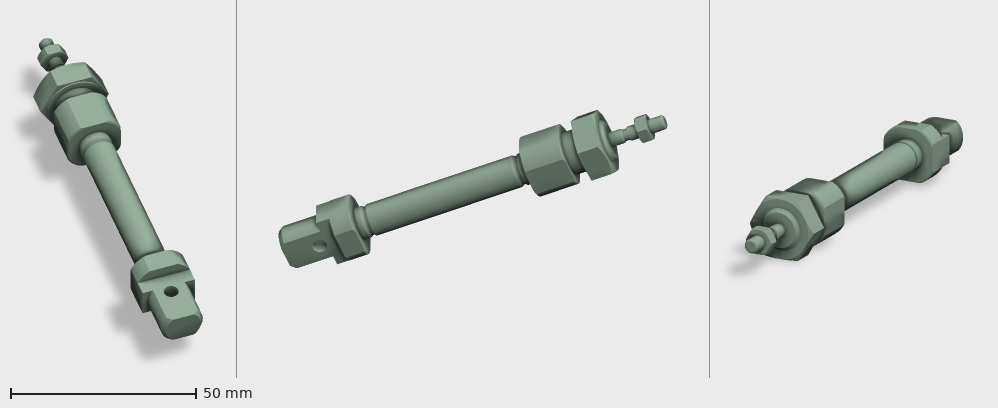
import cadquery as cq
import math


LENGTH = 111.0

ROD_DIAMETER = 4.0
ROD_TIP_CHAMFER = 0.4
UNDERCUT_DIAMETER = 3.2
UNDERCUT_START = 10.5
UNDERCUT_LENGTH = 1.4
UNDERCUT_CHAMFER = (ROD_DIAMETER - UNDERCUT_DIAMETER) / 2

LOCK_NUT_START = 4.4
LOCK_NUT_THICKNESS = 3.2
LOCK_NUT_FLATS = 7.0
NUT_CHAMFER_ANGLE = 30.0

COLLAR_START = 16.0
COLLAR_DIAMETER = 12.0
COLLAR_CHAMFER = 1.0

MOUNT_NUT_START = 17.0
MOUNT_NUT_THICKNESS = 6.7
MOUNT_NUT_FLATS = 17.0
WASHER_FACE_DIAMETER = 16.0
WASHER_FACE_THICKNESS = 0.3

CAP_FLATS = 15.0
FRONT_CAP_START = 28.0
FRONT_CAP_LENGTH = 11.7
REAR_CAP_START = 89.4
REAR_CAP_LENGTH = 9.7
CAP_CHAMFER_LENGTH = 0.28
CAP_CHAMFER_DEPTH = 0.5
REAR_STEP_LENGTH = 5.8

TONGUE_DIAMETER = COLLAR_DIAMETER
TONGUE_THICKNESS = 8.0
TONGUE_CHAMFER_LENGTH = 1.3
TONGUE_CHAMFER_DEPTH = 1.0
PIVOT_HOLE_DIAMETER = 4.0
PIVOT_HOLE_X = 101.0

CAP_DIAMETER = math.hypot(CAP_FLATS, TONGUE_THICKNESS)

BARREL_DIAMETER = 9.0
GROOVE_DIAMETER = 8.0
GROOVE_OFFSET = 2.8
GROOVE_WIDTH = 2.2
GROOVE_HOLLOW_WIDTH = 1.0

FRONT_CAP_END = FRONT_CAP_START + FRONT_CAP_LENGTH
REAR_CAP_END = REAR_CAP_START + REAR_CAP_LENGTH


def cylinder(start, length, diameter):
    """Round bar along X."""
    return cq.Workplane("YZ").workplane(offset=start).circle(diameter / 2).extrude(length)


def hex_prism(start, thickness, flats, chamfer_rear):
    """Hexagon along X, flats facing up and down, corners turned off by a cone."""
    corners = flats / math.cos(math.pi / 6)
    prism = cq.Workplane("YZ").workplane(offset=start).polygon(6, corners).extrude(thickness)
    radial = (corners - flats) / 2
    axial = radial * math.tan(math.radians(NUT_CHAMFER_ANGLE))
    turned = cylinder(start, thickness, corners).faces("<X").chamfer(axial, radial)
    if chamfer_rear:
        turned = turned.faces(">X").chamfer(axial, radial)
    return prism.intersect(turned)


def cap(start, length, chamfered_ends):
    """Round bar with four flats and a shallow cone turned on the chosen ends."""
    square = cq.Workplane("YZ").workplane(offset=start).rect(CAP_FLATS, CAP_FLATS).extrude(length)
    turned = cylinder(start, length, CAP_DIAMETER)
    turned = turned.faces(chamfered_ends).chamfer(CAP_CHAMFER_LENGTH, CAP_CHAMFER_DEPTH)
    return square.intersect(turned)


def make_piston_rod():
    """Rod with a chamfered tip and a turned undercut, ending level with the front cap."""
    undercut_end = UNDERCUT_START + UNDERCUT_LENGTH
    radius = ROD_DIAMETER / 2
    rod = (
        cq.Workplane("XY")
        .lineTo(0, radius - ROD_TIP_CHAMFER)
        .lineTo(ROD_TIP_CHAMFER, radius)
        .lineTo(UNDERCUT_START, radius)
        .lineTo(UNDERCUT_START, UNDERCUT_DIAMETER / 2)
        .lineTo(undercut_end, UNDERCUT_DIAMETER / 2)
        .lineTo(undercut_end + UNDERCUT_CHAMFER, radius)
        .lineTo(FRONT_CAP_END, radius)
        .lineTo(FRONT_CAP_END, 0)
        .close()
        .revolve(360, (0, 0, 0), (1, 0, 0))
    )
    lock_nut = hex_prism(LOCK_NUT_START, LOCK_NUT_THICKNESS, LOCK_NUT_FLATS, chamfer_rear=True)
    return rod.union(lock_nut)


def make_groove(middle):
    """Ring to cut from the barrel: a concave hollow blending into two convex shoulders."""
    floor = GROOVE_DIAMETER / 2
    top = BARREL_DIAMETER / 2
    depth = top - floor
    half_mouth = GROOVE_WIDTH / 2
    half_hollow = GROOVE_HOLLOW_WIDTH / 2
    angle = 2 * math.atan(depth / half_mouth)
    blend = floor + depth * half_hollow / half_mouth
    shoulder_radius = (half_mouth - half_hollow) / math.sin(angle)
    shoulder_x = half_mouth - shoulder_radius * math.sin(angle / 2)
    shoulder_y = top - shoulder_radius * (1 - math.cos(angle / 2))
    return (
        cq.Workplane("XY")
        .moveTo(middle - half_hollow, blend)
        .threePointArc((middle, floor), (middle + half_hollow, blend))
        .threePointArc((middle + shoulder_x, shoulder_y), (middle + half_mouth, top))
        .lineTo(middle - half_mouth, top)
        .threePointArc((middle - shoulder_x, shoulder_y), (middle - half_hollow, blend))
        .close()
        .revolve(360, (0, 0, 0), (1, 0, 0))
    )


def make_barrel():
    """Tube outline with a rolled groove near each cap."""
    barrel = cylinder(FRONT_CAP_END, REAR_CAP_START - FRONT_CAP_END, BARREL_DIAMETER)
    for middle in (FRONT_CAP_END + GROOVE_OFFSET, REAR_CAP_START - GROOVE_OFFSET):
        barrel = barrel.cut(make_groove(middle))
    return barrel


def make_mounting_nut():
    """Large hexagon with a round washer face at the rear."""
    nut = hex_prism(MOUNT_NUT_START, MOUNT_NUT_THICKNESS, MOUNT_NUT_FLATS, chamfer_rear=False)
    washer_start = MOUNT_NUT_START + MOUNT_NUT_THICKNESS
    return nut.union(cylinder(washer_start, WASHER_FACE_THICKNESS, WASHER_FACE_DIAMETER))


def make_rear_end():
    """Rear cap stepping down to a flat tongue with a cross hole."""
    tongue_bar = cylinder(REAR_CAP_END, LENGTH - REAR_CAP_END, TONGUE_DIAMETER)
    tongue_bar = tongue_bar.faces(">X").chamfer(TONGUE_CHAMFER_LENGTH, TONGUE_CHAMFER_DEPTH)
    rear = cap(REAR_CAP_START, REAR_CAP_LENGTH, "<X").union(tongue_bar)
    step = REAR_CAP_START + REAR_STEP_LENGTH
    for side in (1, -1):
        waste = cq.Workplane("XY").box(LENGTH - step, CAP_DIAMETER, CAP_DIAMETER).translate(
            ((LENGTH + step) / 2, 0, side * (TONGUE_THICKNESS + CAP_DIAMETER) / 2)
        )
        rear = rear.cut(waste)
    hole = (
        cq.Workplane("XY")
        .center(PIVOT_HOLE_X, 0)
        .circle(PIVOT_HOLE_DIAMETER / 2)
        .extrude(TONGUE_THICKNESS / 2, both=True)
    )
    return rear.cut(hole)


def make_housing():
    """Collar, mounting nut, caps, barrel and tongue, with a blind bore for the rod."""
    collar = cylinder(COLLAR_START, FRONT_CAP_START - COLLAR_START, COLLAR_DIAMETER)
    collar = collar.faces("<X").chamfer(COLLAR_CHAMFER)
    rod_bore = cylinder(COLLAR_START, FRONT_CAP_END - COLLAR_START, ROD_DIAMETER)
    return (
        collar.union(make_mounting_nut())
        .union(cap(FRONT_CAP_START, FRONT_CAP_LENGTH, "<X or >X"))
        .union(make_barrel())
        .union(make_rear_end())
        .cut(rod_bore)
    )


piston_rod = make_piston_rod()
housing = make_housing()

result = cq.Compound.makeCompound([piston_rod.solids().val(), housing.solids().val()])